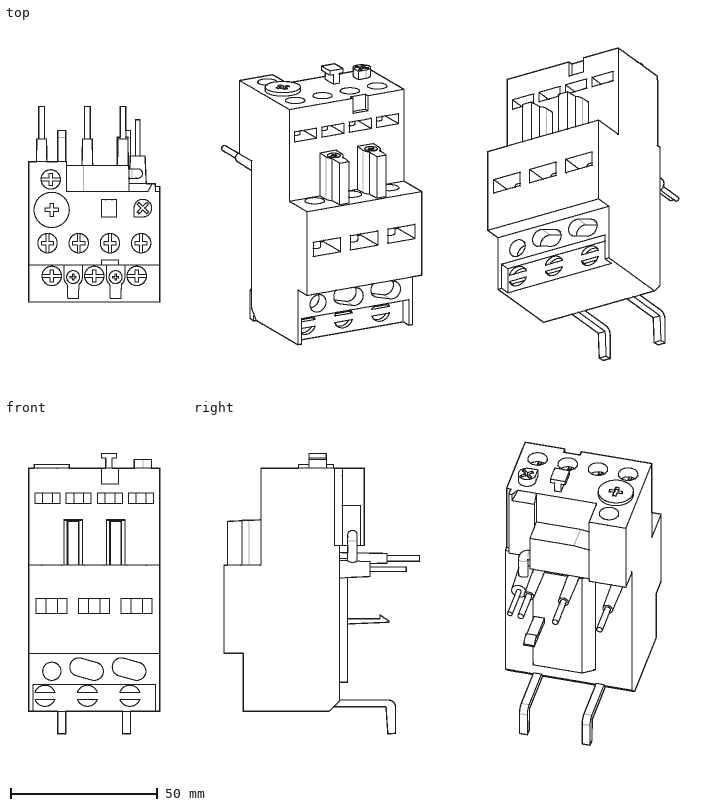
import cadquery as cq
import math


WIDTH = 44.6
TOP_Z = 82.79
STEP_Z = 49.8
NOSE_BOTTOM_Z = 19.7
OVERHANG_Z = 56.4
UPPER_FRONT_Y = 12.6
LOWER_FRONT_Y = 6.56
UPPER_BACK_Y = 37.7
LOWER_BACK_Y = 39.4
BACK_CHAMFER = 3.5
REAR_BLOCK_WIDTH = 12.9
REAR_BLOCK_BACK_Y = 47.86

BOX_RIGHT_X = 34.1
BOX_BACK_Y = 46.6
BOX_TOP_Z = 70.0
BOX_SLOPE_END_X = 18.6
BOX_SLOPE_RISE = 0.8
PLATE_BACK_Y = 42.2
PLATE_BOTTOM_Z = 9.9
PLATE_TOP_Z = 52.0
PLATE_SIDE_SLOPE = 4.0
CORNER_RIGHT_X = 43.1
CORNER_BACK_Y = 40.4
PRONG_BASE_X = 40.6
PRONG_TIP_X = 42.0

SCREW_HOLE_DIA = 6.6
SLOT_DEPTH = 1.0
AUX_PITCH = 10.62
AUX_XS = [6.4 + AUX_PITCH * i for i in range(4)]
AUX_Y = 20.1
AUX_HOLE_DEPTH = 4.0
AUX_SHANK_DIA = 3.4
MAIN_PITCH = 14.46
MAIN_XS = [7.85 + MAIN_PITCH * i for i in range(3)]
MAIN_Y = 8.95
MAIN_HOLE_DEPTH = 6.0
MAIN_SHANK_DIA = 4.0
REAR_SCREW_X = 7.5
REAR_SCREW_Y = 41.8
REAR_HOLE_DEPTH = 6.0
LONG_SLOT = (SCREW_HOLE_DIA, 1.0)
SHORT_SLOT = (4.1, 1.1)

AUX_WINDOW_XS = [2.1 + AUX_PITCH * i for i in range(4)]
AUX_WINDOW_WIDTH = 8.5
AUX_WINDOW_BOTTOM_Z = 70.8
AUX_WINDOW_HEIGHT = 3.6
MAIN_WINDOW_XS = [2.45 + MAIN_PITCH * i for i in range(3)]
MAIN_WINDOW_WIDTH = 10.6
MAIN_WINDOW_BOTTOM_Z = 33.3
MAIN_WINDOW_HEIGHT = 5.1

DISC_X, DISC_Y = 7.8, 31.4
DISC_DIA = 12.0
DISC_HEIGHT = 1.25
DISC_CROSS = (4.5, 1.2)
BUTTON_X, BUTTON_Y = 27.3, 31.95
BUTTON_WIDTH, BUTTON_LENGTH = 5.2, 6.0
BUTTON_STEM_WIDTH = 2.2
BUTTON_HEIGHT = 5.0
BUTTON_CAP_THICKNESS = 1.55
DIAL_X, DIAL_Y = 38.85, 32.04
DIAL_DIA = 6.0
DIAL_HEIGHT = 3.0
DIAL_CROSS = (4.6, 0.9)
DIAL_SLOT_DEPTH = 2.0
NOTCH_X, NOTCH_WIDTH = 24.8, 5.75
NOTCH_DEPTH_Y = 1.8
NOTCH_HEIGHT = 5.4

RIB_XS = [15.1 + MAIN_PITCH * i for i in range(2)]
RIB_FRONT_Y = 1.2
RIB_SCREW_Y = 8.55
RIB_RADIUS = 3.15
RIB_ARC_MID_ANGLE = math.radians(25)
RIB_NECK_HALF_WIDTH = 2.0
RIB_TIP_HALF_WIDTH = 1.8
RIB_BACK_Z = 65.25
RIB_FRONT_Z = 64.7
RIB_SCREW_DIA = 4.4
RIB_SCREW_Z = 65.1
RIB_CROSS = (2.0, 0.5)

PORT_DIA = 6.2
PORT_Z = 13.65
PORT_OFFSET_X = -5.25
PORT_OFFSET_Z = 1.45
PORT_DEPTH = 5.0
RECESS_LEFT_X, RECESS_RIGHT_X = 1.5, 43.1
RECESS_TOP_Z = 9.2
RECESS_DEPTH = 4.0
CLAMP_XS = [5.5 + MAIN_PITCH * i for i in range(3)]
CLAMP_Z = 5.3
CLAMP_DIA = 7.2
CLAMP_BAR_HEIGHT = 2.4
CLAMP_DEPTH = 2.0

PHASE_XS = [4.4, 19.95, 32.1]
PHASE_Z = 52.1
PHASE_WIRE_DIA = 2.0
PHASE_WIRE_END_Y = 66.7
PHASE_SLEEVE_END_Y = 55.6
PHASE_SLEEVE_END_DIA = 3.4
PHASE_SLEEVE_BASE_DIA = 4.0
CONTROL_X, CONTROL_Z = 37.1, 48.4
CONTROL_WIRE_DIA = 1.63
CONTROL_WIRE_END_Y = 62.15
CONTROL_SLEEVE_END_Y = 49.85
CONTROL_SLEEVE_END_DIA = 5.1
CONTROL_SLEEVE_BASE_DIA = 6.0
CABLE_DIA = 3.25
CABLE_Y = 43.8
CABLE_Z = 60.0
CABLE_BEND_RADIUS = 2.0

HOOK_XS = [9.85, 31.9]
HOOK_WIDTH = 2.8
HOOK_BACK_Y = 58.5
HOOK_TOP_Z, HOOK_UNDER_Z = 3.9, 1.5
HOOK_BEND_RADIUS = 2.5
HOOK_TIP_Z = -7.7
HOOK_TIP_SLOPE = 0.2
HOOK_ARM_THICKNESS = 3.3
HOOK_TIP_THICKNESS = 2.7
SPEAR_X, SPEAR_WIDTH = 30.1, 3.7
SPEAR_ROOT_Z = 29.6
SPEAR_TOP_Z = 31.6
SPEAR_TIP_Y = 56.2
SPEAR_TIP_Z = 30.3
SPEAR_TIP_THICKNESS = 0.5
BARB_Y, BARB_Z = 53.1, 32.9

EMBED = 2.0


def box(x0, x1, y0, y1, z0, z1):
    return cq.Workplane("XY").box(x1 - x0, y1 - y0, z1 - z0, centered=False).translate((x0, y0, z0))


def cylinder(x, y, z0, z1, diameter):
    return cq.Workplane("XY").circle(diameter / 2).extrude(z1 - z0).translate((x, y, z0))


def side_profile(points, x0, x1):
    """Extrude a (Y, Z) outline from x0 to x1."""
    return cq.Workplane("YZ").polyline(points).close().extrude(x1 - x0).translate((x0, 0, 0))


def plan_profile(points, z0, z1):
    """Extrude an (X, Y) outline from z0 to z1."""
    return cq.Workplane("XY").polyline(points).close().extrude(z1 - z0).translate((0, 0, z0))


def cross(x, y, top_z, along_x, along_y, angle=0, depth=SLOT_DEPTH):
    """Cross-shaped screwdriver recess; each arm is (length, width)."""
    arm_x = cq.Workplane("XY").rect(along_x[0], along_x[1]).extrude(-depth)
    arm_y = cq.Workplane("XY").rect(along_y[1], along_y[0]).extrude(-depth)
    recess = arm_x.union(arm_y).rotate((0, 0, 0), (0, 0, 1), angle)
    return recess.translate((x, y, top_z))


def cone_along_y(x, z, y0, y1, dia0, dia1):
    solid = cq.Solid.makeCone(dia0 / 2, dia1 / 2, y1 - y0, cq.Vector(x, y0, z), cq.Vector(0, 1, 0))
    return cq.Workplane(obj=solid)


def rod_along_y(x, z, y0, y1, diameter):
    solid = cq.Solid.makeCylinder(diameter / 2, y1 - y0, cq.Vector(x, y0, z), cq.Vector(0, 1, 0))
    return cq.Workplane(obj=solid)


def make_housing():
    outline = [
        (LOWER_FRONT_Y, 0),
        (LOWER_BACK_Y - BACK_CHAMFER, 0),
        (LOWER_BACK_Y, BACK_CHAMFER),
        (LOWER_BACK_Y, OVERHANG_Z),
        (UPPER_BACK_Y, OVERHANG_Z),
        (UPPER_BACK_Y, TOP_Z),
        (UPPER_FRONT_Y, TOP_Z),
        (UPPER_FRONT_Y, STEP_Z),
        (0, STEP_Z),
        (0, NOSE_BOTTOM_Z),
        (LOWER_FRONT_Y, NOSE_BOTTOM_Z),
    ]
    rear_block = box(0, REAR_BLOCK_WIDTH, UPPER_BACK_Y - EMBED, REAR_BLOCK_BACK_Y, OVERHANG_Z, TOP_Z)
    return side_profile(outline, 0, WIDTH).union(rear_block)


def make_back_box():
    """Box under the rear notch; the left part of its top slopes gently."""
    outline = [
        (REAR_BLOCK_WIDTH - EMBED, OVERHANG_Z),
        (BOX_RIGHT_X, OVERHANG_Z),
        (BOX_RIGHT_X, BOX_TOP_Z),
        (BOX_SLOPE_END_X, BOX_TOP_Z),
        (REAR_BLOCK_WIDTH, BOX_TOP_Z - BOX_SLOPE_RISE),
        (REAR_BLOCK_WIDTH - EMBED, BOX_TOP_Z - BOX_SLOPE_RISE),
    ]
    start_y = UPPER_BACK_Y - EMBED
    profile = cq.Workplane("XZ").polyline(outline).close().extrude(start_y - BOX_BACK_Y)
    return profile.translate((0, start_y, 0))


def make_back_plate():
    """Raised plate on the back with a slanted left side."""
    outline = [
        (REAR_BLOCK_WIDTH, LOWER_BACK_Y),
        (REAR_BLOCK_WIDTH + PLATE_SIDE_SLOPE, PLATE_BACK_Y),
        (BOX_RIGHT_X, PLATE_BACK_Y),
        (BOX_RIGHT_X, LOWER_BACK_Y - EMBED),
        (REAR_BLOCK_WIDTH, LOWER_BACK_Y - EMBED),
    ]
    return plan_profile(outline, PLATE_BOTTOM_Z, PLATE_TOP_Z)


def make_rear_corner():
    """Ramp behind the reset dial, with a prong flush with the top at its right end."""
    overhang = CORNER_BACK_Y - UPPER_BACK_Y
    ramp_outline = [
        (UPPER_BACK_Y - EMBED, OVERHANG_Z),
        (CORNER_BACK_Y, OVERHANG_Z),
        (CORNER_BACK_Y, TOP_Z - overhang),
        (UPPER_BACK_Y, TOP_Z),
        (UPPER_BACK_Y - EMBED, TOP_Z),
    ]
    ramp = side_profile(ramp_outline, BOX_RIGHT_X, CORNER_RIGHT_X)
    prong_outline = [
        (PRONG_BASE_X, UPPER_BACK_Y),
        (PRONG_TIP_X, CORNER_BACK_Y),
        (CORNER_RIGHT_X, CORNER_BACK_Y),
        (CORNER_RIGHT_X, UPPER_BACK_Y),
    ]
    return ramp.union(plan_profile(prong_outline, OVERHANG_Z, TOP_Z))


def cut_screw(part, x, y, top_z, depth, along_x, along_y):
    """Screw access hole whose floor is the slotted screw head."""
    head_z = top_z - depth
    part = part.cut(cylinder(x, y, head_z, top_z, SCREW_HOLE_DIA))
    return part.cut(cross(x, y, head_z, along_x, along_y))


def cut_terminal_screws(part):
    for x in AUX_XS:
        part = cut_screw(part, x, AUX_Y, TOP_Z, AUX_HOLE_DEPTH, SHORT_SLOT, LONG_SLOT)
    for x in MAIN_XS:
        part = cut_screw(part, x, MAIN_Y, STEP_Z, MAIN_HOLE_DEPTH, LONG_SLOT, SHORT_SLOT)
    return cut_screw(part, REAR_SCREW_X, REAR_SCREW_Y, TOP_Z, REAR_HOLE_DEPTH, LONG_SLOT, SHORT_SLOT)


def cut_windows(part, lefts, width, bottom_z, height, front_y, screw_xs, screw_y, shank_dia):
    """Rectangular wire entries, each crossed by the shank of its terminal screw."""
    back_y = screw_y + SCREW_HOLE_DIA / 2
    for left, screw_x in zip(lefts, screw_xs):
        window = box(left, left + width, front_y, back_y, bottom_z, bottom_z + height)
        shank = cylinder(screw_x, screw_y, bottom_z, bottom_z + height, shank_dia)
        part = part.cut(window.cut(shank))
    return part


def add_disc(part):
    top_z = TOP_Z + DISC_HEIGHT
    part = part.union(cylinder(DISC_X, DISC_Y, TOP_Z - EMBED, top_z, DISC_DIA))
    return part.cut(cross(DISC_X, DISC_Y, top_z, DISC_CROSS, DISC_CROSS))


def add_button(part):
    top_z = TOP_Z + BUTTON_HEIGHT
    cap_z = top_z - BUTTON_CAP_THICKNESS
    y0 = BUTTON_Y - BUTTON_LENGTH / 2
    y1 = BUTTON_Y + BUTTON_LENGTH / 2
    for width, z0, z1 in [(BUTTON_STEM_WIDTH, TOP_Z - EMBED, cap_z), (BUTTON_WIDTH, cap_z, top_z)]:
        part = part.union(box(BUTTON_X - width / 2, BUTTON_X + width / 2, y0, y1, z0, z1))
    return part


def add_dial(part):
    """Round dial with one square corner as pointer."""
    top_z = TOP_Z + DIAL_HEIGHT
    radius = DIAL_DIA / 2
    part = part.union(cylinder(DIAL_X, DIAL_Y, TOP_Z - EMBED, top_z, DIAL_DIA))
    part = part.union(box(DIAL_X - radius, DIAL_X, DIAL_Y - radius, DIAL_Y, TOP_Z - EMBED, top_z))
    return part.cut(cross(DIAL_X, DIAL_Y, top_z, DIAL_CROSS, DIAL_CROSS, 45, DIAL_SLOT_DEPTH))


def cut_top_notch(part):
    notch_back_y = UPPER_FRONT_Y + NOTCH_DEPTH_Y
    return part.cut(
        box(NOTCH_X, NOTCH_X + NOTCH_WIDTH, UPPER_FRONT_Y, notch_back_y, TOP_Z - NOTCH_HEIGHT, TOP_Z)
    )


def add_rib(part, x):
    """Separator rib: wide at the back, rounded around its screw, narrow at the front."""
    neck_y = RIB_SCREW_Y - math.sqrt(RIB_RADIUS**2 - RIB_NECK_HALF_WIDTH**2)
    mid_x = RIB_RADIUS * math.cos(RIB_ARC_MID_ANGLE)
    mid_y = RIB_SCREW_Y - RIB_RADIUS * math.sin(RIB_ARC_MID_ANGLE)
    back_y = UPPER_FRONT_Y + EMBED
    base_z = STEP_Z - EMBED
    rib = (
        cq.Workplane("XY")
        .moveTo(-RIB_RADIUS, back_y)
        .lineTo(-RIB_RADIUS, RIB_SCREW_Y)
        .threePointArc((-mid_x, mid_y), (-RIB_NECK_HALF_WIDTH, neck_y))
        .lineTo(-RIB_TIP_HALF_WIDTH, RIB_FRONT_Y)
        .lineTo(RIB_TIP_HALF_WIDTH, RIB_FRONT_Y)
        .lineTo(RIB_NECK_HALF_WIDTH, neck_y)
        .threePointArc((mid_x, mid_y), (RIB_RADIUS, RIB_SCREW_Y))
        .lineTo(RIB_RADIUS, back_y)
        .close()
        .extrude(RIB_BACK_Z - base_z)
        .translate((x, 0, base_z))
    )
    envelope_outline = [
        (RIB_FRONT_Y, base_z),
        (back_y, base_z),
        (back_y, RIB_BACK_Z),
        (UPPER_FRONT_Y, RIB_BACK_Z),
        (RIB_FRONT_Y, RIB_FRONT_Z),
    ]
    sloped_envelope = side_profile(envelope_outline, x - RIB_RADIUS, x + RIB_RADIUS)
    screw_head = cylinder(x, RIB_SCREW_Y, STEP_Z, RIB_SCREW_Z, RIB_SCREW_DIA)
    screw_well = cylinder(x, RIB_SCREW_Y, RIB_SCREW_Z, RIB_BACK_Z, RIB_SCREW_DIA)
    rib = rib.intersect(sloped_envelope).union(screw_head).cut(screw_well)
    return part.union(rib).cut(cross(x, RIB_SCREW_Y, RIB_SCREW_Z, RIB_CROSS, RIB_CROSS))


def cut_ports(part):
    """One round and two slanted slotted ports in the lower front."""
    bore = cq.Workplane("XZ").circle(PORT_DIA / 2).extrude(-PORT_DEPTH)
    part = part.cut(bore.translate((MAIN_XS[0], LOWER_FRONT_Y, PORT_Z)))
    slot_length = math.hypot(PORT_OFFSET_X, PORT_OFFSET_Z) + PORT_DIA
    slot_angle = math.degrees(math.atan2(PORT_OFFSET_Z, PORT_OFFSET_X))
    for x in MAIN_XS[1:]:
        slot = cq.Workplane("XZ").slot2D(slot_length, PORT_DIA, slot_angle).extrude(-PORT_DEPTH)
        centre = (x + PORT_OFFSET_X / 2, LOWER_FRONT_Y, PORT_Z + PORT_OFFSET_Z / 2)
        part = part.cut(slot.translate(centre))
    return part


def cut_clamp_recess(part):
    """Open recess at the bottom front with three round pockets, each crossed by a flush bar."""
    floor_y = LOWER_FRONT_Y + RECESS_DEPTH
    part = part.cut(box(RECESS_LEFT_X, RECESS_RIGHT_X, LOWER_FRONT_Y, floor_y, 0, RECESS_TOP_Z))
    disc = cq.Workplane("XZ").circle(CLAMP_DIA / 2).extrude(-CLAMP_DEPTH)
    bar = cq.Workplane("XZ").rect(CLAMP_DIA, CLAMP_BAR_HEIGHT).extrude(-CLAMP_DEPTH)
    pocket = disc.cut(bar)
    for x in CLAMP_XS:
        part = part.cut(pocket.translate((x, floor_y, CLAMP_Z)))
    return part


def add_phase_wires(part):
    start_y = LOWER_BACK_Y - EMBED
    for x in PHASE_XS:
        sleeve = cone_along_y(
            x, PHASE_Z, LOWER_BACK_Y, PHASE_SLEEVE_END_Y, PHASE_SLEEVE_BASE_DIA, PHASE_SLEEVE_END_DIA
        )
        wire = rod_along_y(x, PHASE_Z, start_y, PHASE_WIRE_END_Y, PHASE_WIRE_DIA)
        part = part.union(sleeve).union(wire)
    return part


def add_control_wire(part):
    """Sleeved wire fed by a cable that leaves the back box and bends down."""
    sleeve = cone_along_y(
        CONTROL_X, CONTROL_Z, LOWER_BACK_Y, CONTROL_SLEEVE_END_Y,
        CONTROL_SLEEVE_BASE_DIA, CONTROL_SLEEVE_END_DIA,
    )
    wire = rod_along_y(CONTROL_X, CONTROL_Z, LOWER_BACK_Y - EMBED, CONTROL_WIRE_END_Y, CONTROL_WIRE_DIA)
    bend_start_x = CONTROL_X - CABLE_BEND_RADIUS
    bend_end_z = CABLE_Z - CABLE_BEND_RADIUS
    bend_mid = CABLE_BEND_RADIUS * math.sin(math.radians(45))
    path = (
        cq.Workplane("XZ", origin=(0, CABLE_Y, 0))
        .moveTo(BOX_RIGHT_X - EMBED, CABLE_Z)
        .lineTo(bend_start_x, CABLE_Z)
        .threePointArc((bend_start_x + bend_mid, bend_end_z + bend_mid), (CONTROL_X, bend_end_z))
        .lineTo(CONTROL_X, CONTROL_Z)
    )
    cable = (
        cq.Workplane("YZ", origin=(BOX_RIGHT_X - EMBED, CABLE_Y, CABLE_Z))
        .circle(CABLE_DIA / 2)
        .sweep(path)
    )
    return part.union(sleeve).union(wire).union(cable)


def add_hooks(part):
    """Two bent hooks at the bottom of the back."""
    root_y = LOWER_BACK_Y - BACK_CHAMFER
    bend_centre_y = HOOK_BACK_Y - HOOK_BEND_RADIUS
    bend_centre_z = HOOK_TOP_Z - HOOK_BEND_RADIUS
    bend_mid = HOOK_BEND_RADIUS * math.sin(math.radians(45))
    hook = (
        cq.Workplane("YZ")
        .moveTo(root_y, HOOK_TOP_Z)
        .lineTo(bend_centre_y, HOOK_TOP_Z)
        .threePointArc((bend_centre_y + bend_mid, bend_centre_z + bend_mid), (HOOK_BACK_Y, bend_centre_z))
        .lineTo(HOOK_BACK_Y, HOOK_TIP_Z + HOOK_TIP_SLOPE)
        .lineTo(HOOK_BACK_Y - HOOK_TIP_THICKNESS, HOOK_TIP_Z)
        .lineTo(HOOK_BACK_Y - HOOK_ARM_THICKNESS, HOOK_UNDER_Z)
        .lineTo(root_y, HOOK_UNDER_Z)
        .close()
        .extrude(HOOK_WIDTH)
    )
    for x in HOOK_XS:
        part = part.union(hook.translate((x, 0, 0)))
    return part


def add_spear(part):
    """Barbed snap tongue on the back plate."""
    outline = [
        (LOWER_BACK_Y, SPEAR_ROOT_Z),
        (SPEAR_TIP_Y, SPEAR_TIP_Z),
        (SPEAR_TIP_Y, SPEAR_TIP_Z + SPEAR_TIP_THICKNESS),
        (BARB_Y, BARB_Z),
        (BARB_Y, SPEAR_TOP_Z),
        (LOWER_BACK_Y, SPEAR_TOP_Z),
    ]
    return part.union(side_profile(outline, SPEAR_X, SPEAR_X + SPEAR_WIDTH))


result = make_housing().union(make_back_box()).union(make_back_plate()).union(make_rear_corner())
result = cut_terminal_screws(result)
result = cut_windows(
    result, AUX_WINDOW_XS, AUX_WINDOW_WIDTH, AUX_WINDOW_BOTTOM_Z, AUX_WINDOW_HEIGHT,
    UPPER_FRONT_Y, AUX_XS, AUX_Y, AUX_SHANK_DIA,
)
result = cut_windows(
    result, MAIN_WINDOW_XS, MAIN_WINDOW_WIDTH, MAIN_WINDOW_BOTTOM_Z, MAIN_WINDOW_HEIGHT,
    0, MAIN_XS, MAIN_Y, MAIN_SHANK_DIA,
)
result = add_disc(result)
result = add_button(result)
result = add_dial(result)
result = cut_top_notch(result)
for rib_x in RIB_XS:
    result = add_rib(result, rib_x)
result = cut_ports(result)
result = cut_clamp_recess(result)
result = add_phase_wires(result)
result = add_control_wire(result)
result = add_hooks(result)
result = add_spear(result)